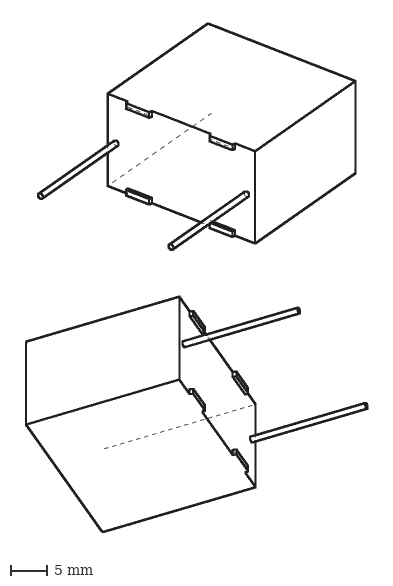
import cadquery as cq

overall_length = 41.0
case_width = 25.5
case_height = 15.0
lead_length = 17.5
case_depth = overall_length - lead_length
back_edge_radius = 0.4

foot_spacing = 14.35
foot_base_width = 4.22
foot_taper = 0.12
foot_projection = 0.5
foot_height = 0.9

lead_pitch = 22.55
lead_diameter = 0.85



def make_foot(center_x, bottom_z):
    """Return a foot whose two ends taper as it rises from the lead side."""
    half_base = foot_base_width / 2
    half_tip = half_base - foot_taper
    return (
        cq.Workplane("XY", origin=(center_x, 0, bottom_z))
        .moveTo(-half_base, 0)
        .lineTo(-half_tip, -foot_projection)
        .lineTo(half_tip, -foot_projection)
        .lineTo(half_base, 0)
        .close()
        .extrude(foot_height)
    )


def make_case():
    """Return the rectangular case with a rounded back rim and four feet."""
    case = (
        cq.Workplane("XY")
        .box(case_width, case_depth, case_height, centered=(True, False, True))
        .faces(">Y")
        .edges()
        .fillet(back_edge_radius)
    )
    lower_foot_z = -case_height / 2
    upper_foot_z = case_height / 2 - foot_height
    for side in (-1, 1):
        for bottom_z in (lower_foot_z, upper_foot_z):
            case = case.union(make_foot(side * foot_spacing / 2, bottom_z))
    return case


def make_lead(center_x):
    """Return a round lead that starts at the case and runs toward -Y."""
    return cq.Workplane("XZ", origin=(center_x, 0, 0)).circle(lead_diameter / 2).extrude(lead_length)


case = make_case()
leads = [make_lead(side * lead_pitch / 2) for side in (-1, 1)]

result = cq.Compound.makeCompound([case.val(), *[lead.val() for lead in leads]])